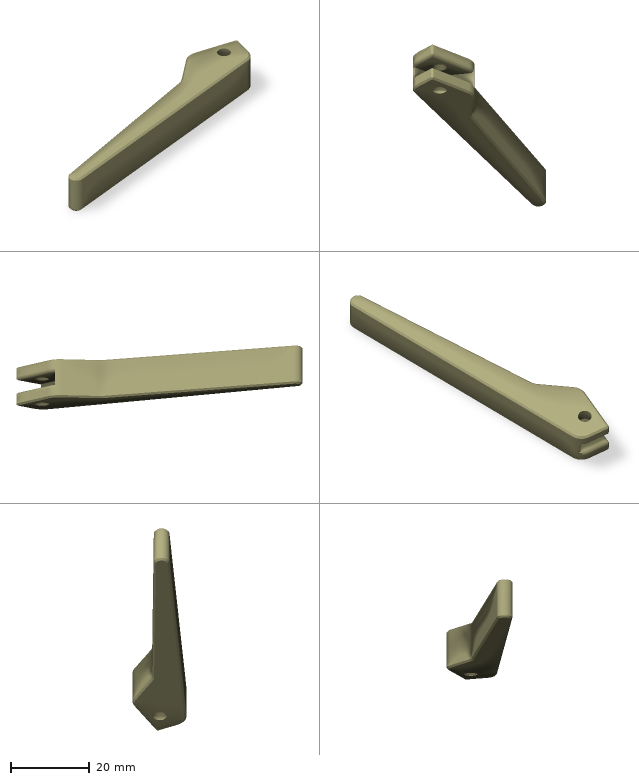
import cadquery as cq
import math

length = 68.7
width = 37.8
thickness = 10.0

tip_radius = 2.0
bend_radius = 4.0
left_corner_y = -14.6
elbow_x = 9.9
elbow_y = -21.8
back_corner_x = 8.65
edge_chamfer = 0.5

hole_diameter = 3.5
hole_x = 3.9
hole_y = -6.0

slot_height = 3.15
slot_wall_x = 8.0
slot_corner_y = -9.0
slot_exit_y = -14.85
slot_corner_radius = 2.0
slot_bevel_y = -1.1
slot_bevel_angle = 33.0
mouth_radius = 0.95
slot_overrun = 3.45

tip_center = (width - tip_radius, tip_radius - length)


def tip_tangent(point, side):
    """Touch point on the tip circle of a line from point; side is +1 or -1."""
    dx = point[0] - tip_center[0]
    dy = point[1] - tip_center[1]
    angle = math.atan2(dy, dx) + side * math.acos(tip_radius / math.hypot(dx, dy))
    return (
        tip_center[0] + tip_radius * math.cos(angle),
        tip_center[1] + tip_radius * math.sin(angle),
    )


def lever_blank():
    elbow = (elbow_x, elbow_y)
    back_corner = (back_corner_x, 0)
    left_corner = (0, left_corner_y)
    front_touch = tip_tangent(elbow, 1)
    back_touch = tip_tangent(back_corner, -1)
    mid_x = (front_touch[0] + back_touch[0]) / 2 - tip_center[0]
    mid_y = (front_touch[1] + back_touch[1]) / 2 - tip_center[1]
    reach = tip_radius / math.hypot(mid_x, mid_y)
    tip_end = (tip_center[0] + mid_x * reach, tip_center[1] + mid_y * reach)

    blank = (
        cq.Workplane("XY", origin=(0, 0, -thickness / 2))
        .moveTo(0, 0)
        .lineTo(*left_corner)
        .lineTo(*elbow)
        .lineTo(*front_touch)
        .threePointArc(tip_end, back_touch)
        .lineTo(*back_corner)
        .close()
        .extrude(thickness)
    )
    for corner in (left_corner, elbow, back_corner):
        nearest = cq.selectors.NearestToPointSelector((*corner, 0))
        blank = blank.edges(nearest).fillet(bend_radius)
    return blank.faces("<Z or >Z").edges().chamfer(edge_chamfer)


def slot_cutter():
    slope = (slot_corner_y - slot_exit_y) / slot_wall_x
    outside_y = slot_exit_y - slope * slot_overrun
    cutter = (
        cq.Workplane("XY", origin=(0, 0, -slot_height / 2))
        .moveTo(-slot_overrun, slot_overrun)
        .lineTo(-slot_overrun, outside_y)
        .lineTo(slot_wall_x, slot_corner_y)
        .lineTo(slot_wall_x, slot_overrun)
        .close()
        .extrude(slot_height)
    )
    inner_corner = cq.selectors.NearestToPointSelector((slot_wall_x, slot_corner_y, 0))
    return cutter.edges(inner_corner).fillet(slot_corner_radius)


def round_slot_mouth(body):
    """Round the mouth rims of both prongs along the left side and the hinge end."""
    rim_edges = []
    for rim_z in (-slot_height / 2, slot_height / 2):
        for x, y in ((0, left_corner_y / 2), (back_corner_x / 2, 0)):
            rim = cq.selectors.NearestToPointSelector((x, y, rim_z))
            rim_edges.extend(body.edges(rim).vals())
    return body.newObject(rim_edges).fillet(mouth_radius)


def slot_bevel_cutter():
    """Bevel that breaks the sharp edge where the straight slot wall leaves the part."""
    bevel_rise = slot_overrun * math.tan(math.radians(slot_bevel_angle))
    return (
        cq.Workplane("XY", origin=(0, 0, -slot_height / 2))
        .moveTo(slot_wall_x, slot_bevel_y)
        .lineTo(slot_wall_x + slot_overrun, slot_bevel_y + bevel_rise)
        .lineTo(slot_wall_x, slot_bevel_y + bevel_rise)
        .close()
        .extrude(slot_height)
    )


def hinge_corner_cutter():
    """Flat cut across the outer corner of both prongs."""
    return (
        cq.Workplane("XY", origin=(0, 0, -thickness / 2))
        .polyline([(0, 0), (0, -edge_chamfer), (edge_chamfer, 0)])
        .close()
        .extrude(thickness)
    )


def pivot_hole():
    return (
        cq.Workplane("XY", origin=(hole_x, hole_y, -thickness / 2))
        .circle(hole_diameter / 2)
        .extrude(thickness)
    )


lever = lever_blank().cut(slot_cutter())
lever = round_slot_mouth(lever)
for cutter in (slot_bevel_cutter(), hinge_corner_cutter(), pivot_hole()):
    lever = lever.cut(cutter)
result = lever